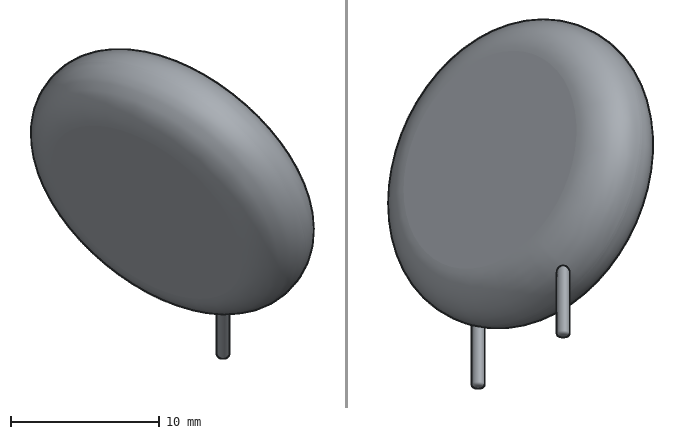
import cadquery as cq

body_diameter = 21.5
body_thickness = 6.3
rim_band_width = 0.2
rim_fillet = (body_thickness - rim_band_width) / 2

overall_height = 24.53
lead_diameter = 0.9
lead_spacing_x = 10.0
lead_spacing_y = 2.8
lead_tip_fillet = 0.2
lead_bottom_z = body_diameter / 2 - overall_height


def make_body():
    """Disc with fully rounded edges and a narrow straight rim band."""
    disc = cq.Workplane("XZ").circle(body_diameter / 2).extrude(body_thickness / 2, both=True)
    return disc.edges().fillet(rim_fillet)


def make_lead(x, y):
    """Lead with a rounded tip, reaching up to the disc's centre height."""
    lead = (
        cq.Workplane("XY", origin=(x, y, lead_bottom_z))
        .circle(lead_diameter / 2)
        .extrude(-lead_bottom_z)
    )
    return lead.faces("<Z").edges().fillet(lead_tip_fillet)


result = make_body()
for side in (-1, 1):
    lead_x = side * lead_spacing_x / 2
    lead_y = -side * lead_spacing_y / 2
    result = result.union(make_lead(lead_x, lead_y))